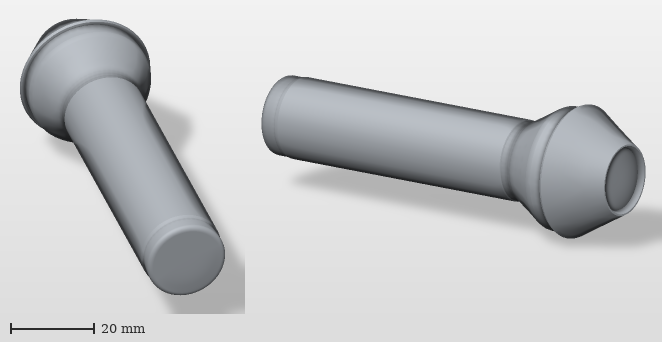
import cadquery as cq
import math

TOTAL_LENGTH = 100.0
CONE_ANGLE = 30.0
CONE_SLOPE = math.tan(math.radians(CONE_ANGLE))

CAP_RADIUS = 32.7 / 2
CAP_LENGTH = 13.8
RIM_WIDTH = 0.6
RIM_DROP = 0.3
MOUTH_RADIUS = CAP_RADIUS - (CAP_LENGTH - RIM_WIDTH) * CONE_SLOPE
LIP_WIDTH = 0.4
RECESS_DEPTH = 1.5
RECESS_FLOOR_RADIUS = 7.6

COLLAR_RADIUS = 30.5 / 2
COLLAR_CORNER_X = 18.0
BLEND_RADIUS = 3.0
NECK_RADIUS = 19.5 / 2
SHANK_RADIUS = 20.0 / 2
SHANK_START = 29.5
SHANK_END = 94.6
SHANK_CHAMFER = SHANK_RADIUS - NECK_RADIUS
TAPER_END = 95.8
TAIL_ROUND_RADIUS = 1.2


def turned(outline):
    """Close an (x, radius) outline and revolve it about the X axis."""
    return outline.close().revolve(360, (0, 0, 0), (1, 0, 0))


def make_cap():
    """Conical cap with a narrow back-tapered rim and a shallow tapered recess in its mouth."""
    outline = cq.Workplane("XY").polyline([
        (RECESS_DEPTH, 0),
        (RECESS_DEPTH, RECESS_FLOOR_RADIUS),
        (0, MOUTH_RADIUS - LIP_WIDTH),
        (0, MOUTH_RADIUS),
        (CAP_LENGTH - RIM_WIDTH, CAP_RADIUS),
        (CAP_LENGTH, CAP_RADIUS - RIM_DROP),
        (CAP_LENGTH, 0),
    ])
    return turned(outline)


def make_pin():
    """Collar, blended cone, neck, long shank, short taper and rounded tail."""
    neck_corner_x = COLLAR_CORNER_X + (COLLAR_RADIUS - NECK_RADIUS) / CONE_SLOPE
    outline = cq.Workplane("XY").polyline([
        (CAP_LENGTH, 0),
        (CAP_LENGTH, COLLAR_RADIUS),
        (COLLAR_CORNER_X, COLLAR_RADIUS),
        (neck_corner_x, NECK_RADIUS),
        (SHANK_START, NECK_RADIUS),
        (SHANK_START + SHANK_CHAMFER, SHANK_RADIUS),
        (SHANK_END, SHANK_RADIUS),
        (TAPER_END, NECK_RADIUS),
        (TOTAL_LENGTH, NECK_RADIUS),
        (TOTAL_LENGTH, 0),
    ])
    pin = turned(outline).faces(">X").edges().fillet(TAIL_ROUND_RADIUS)
    margin = 0.1
    cone_ends = cq.selectors.BoxSelector(
        (COLLAR_CORNER_X - margin, -CAP_RADIUS, -CAP_RADIUS),
        (neck_corner_x + margin, CAP_RADIUS, CAP_RADIUS),
    )
    return pin.edges("%CIRCLE").edges(cone_ends).fillet(BLEND_RADIUS)


cap = make_cap()
pin = make_pin()

result = cq.Compound.makeCompound([cap.val(), pin.val()])